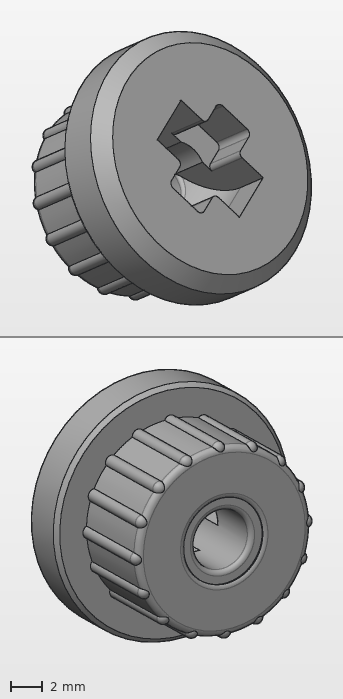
import cadquery as cq
import math

tilt_angle = 40.0
total_length = 10.56

flange_diameter = 17.15
flange_thickness = 4.1
flange_top_chamfer = 1.0
flange_bottom_chamfer = 0.3

hub_radius = 6.33
hub_edge_radius = 0.44
rib_count = 16
rib_radius = 0.45
rib_tip_radius = 6.59

hole_radius = 4.0 / 2
recess_radius = 2.88
recess_depth = 0.23
recess_edge_width = 0.3
recess_edge_depth = 0.12
hole_lower_edge_radius = 0.33
hole_upper_edge_radius = 0.3

slot_length = 7.5
slot_width = 3.5
slot_straight_depth = 2.5
arm_width = 2.99
arm_span = 7.3
arm_depth = 3.3
arm_corner_radius = 0.39
arm_mouth_radius = 0.33

slot_floor_radius = slot_length / 2
slot_axis_height = total_length - slot_straight_depth

pick_margin = 0.02


def make_flange():
    flange = (
        cq.Workplane("XY")
        .workplane(offset=total_length - flange_thickness)
        .circle(flange_diameter / 2)
        .extrude(flange_thickness)
    )
    flange = flange.faces(">Z").chamfer(flange_top_chamfer)
    return flange.faces("<Z").chamfer(flange_bottom_chamfer)


def make_hub():
    """Round-edged cylinder carrying ball-ended ribs, reaching into the flange."""
    hub_top = total_length - flange_thickness / 2
    hub = cq.Workplane("XY").circle(hub_radius).extrude(hub_top)
    hub = hub.faces("<Z").edges().fillet(hub_edge_radius)

    rib_base = cq.Workplane("XY", origin=(rib_tip_radius - rib_radius, 0, rib_radius))
    rib_end = rib_base.sphere(rib_radius)
    rib = rib_base.circle(rib_radius).extrude(hub_top - rib_radius).union(rib_end)
    for index in range(rib_count):
        hub = hub.union(rib.rotate((0, 0, 0), (0, 0, 1), index * 360 / rib_count))
    return hub


def make_bore():
    """Hole reaching up into the slot, with the recess and both lower rounded edges."""
    recess_edge_radius = (recess_edge_width**2 + recess_edge_depth**2) / (2 * recess_edge_depth)
    profile = (
        cq.Workplane("XZ")
        .lineTo(recess_radius + recess_edge_width, 0)
        .radiusArc((recess_radius, recess_edge_depth), recess_edge_radius)
        .lineTo(recess_radius, recess_depth)
        .lineTo(hole_radius + hole_lower_edge_radius, recess_depth)
        .radiusArc((hole_radius, recess_depth + hole_lower_edge_radius), hole_lower_edge_radius)
        .lineTo(hole_radius, slot_axis_height)
        .lineTo(0, slot_axis_height)
        .close()
    )
    return profile.revolve(360, (0, 0, 0), (0, 1, 0))


def make_slot():
    """Slot whose end walls run smoothly into a half-round floor."""
    return (
        cq.Workplane("XZ")
        .moveTo(-slot_floor_radius, total_length)
        .lineTo(-slot_floor_radius, slot_axis_height)
        .threePointArc(
            (0, slot_axis_height - slot_floor_radius),
            (slot_floor_radius, slot_axis_height),
        )
        .lineTo(slot_floor_radius, total_length)
        .close()
        .extrude(slot_width / 2, both=True)
    )


def make_arms():
    """Flat-bottomed, round-cornered pocket crossing the slot."""
    return (
        cq.Workplane("XY")
        .workplane(offset=total_length - arm_depth)
        .rect(arm_width, arm_span)
        .extrude(arm_depth)
        .edges("|Z")
        .fillet(arm_corner_radius)
    )


def edges_in_box(body, half_x, bottom, top):
    """Edges between two heights, centred within the slot width and within half_x of the axis."""
    half_y = slot_width / 2 + pick_margin
    box = cq.selectors.BoxSelector((-half_x, -half_y, bottom), (half_x, half_y, top))
    return body.edges(box)


def round_slot_corners(body):
    """Round the upright edges where the arms open into the slot."""
    half_x = arm_width / 2 + pick_margin
    edges = edges_in_box(body, half_x, total_length - arm_depth, total_length)
    return edges.edges("|Z").fillet(arm_mouth_radius)


def round_hole_mouth(body):
    """Round the edge where the hole breaks through the slot's half-round floor."""
    slot_bottom = slot_axis_height - slot_floor_radius
    mouth_top = slot_axis_height - math.sqrt(slot_floor_radius**2 - hole_radius**2)
    edges = edges_in_box(body, hole_radius, slot_bottom, mouth_top)
    return edges.fillet(hole_upper_edge_radius)


upright = make_flange().union(make_hub()).cut(make_bore()).cut(make_slot()).cut(make_arms())
upright = round_hole_mouth(round_slot_corners(upright))
result = upright.rotate((0, 0, 0), (0, 1, 0), tilt_angle)